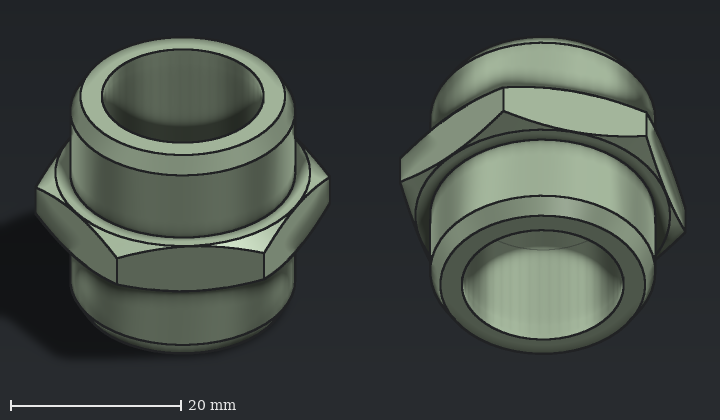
import cadquery as cq
import math

overall_height = 28.5
hex_sides = 6
across_flats = 30.0
hex_height = 6.5
spigot_diameter = 26.44
bore_diameter = 19.0

end_chamfer_depth = 1.2
end_chamfer_angle = 30.0

hex_face_diameter = 29.9
hex_chamfer_angle = 30.0

across_corners = across_flats / math.cos(math.pi / hex_sides)
end_chamfer_length = end_chamfer_depth / math.tan(math.radians(end_chamfer_angle))
corner_drop = (across_corners - hex_face_diameter) / 2 * math.tan(math.radians(hex_chamfer_angle))


def chamfered_cylinder(diameter, height, face_diameter, chamfer_length):
    """Cylinder centred on the origin, with a cone down to face_diameter at both ends."""
    radius = diameter / 2
    face_radius = face_diameter / 2
    half_height = height / 2
    shoulder = half_height - chamfer_length
    profile = [
        (0, -half_height),
        (face_radius, -half_height),
        (radius, -shoulder),
        (radius, shoulder),
        (face_radius, half_height),
        (0, half_height),
    ]
    return cq.Workplane("XZ").polyline(profile).close().revolve(axisStart=(0, 0), axisEnd=(0, 1))


def hexagon():
    """Wrench hexagon with corners on the X axis and conically chamfered corners."""
    prism = (
        cq.Workplane("XY")
        .workplane(offset=-hex_height / 2)
        .polygon(hex_sides, across_corners)
        .extrude(hex_height)
    )
    envelope = chamfered_cylinder(across_corners, hex_height, hex_face_diameter, corner_drop)
    return prism.intersect(envelope)


def spigots():
    """Both round end spigots as one cylinder running through the hexagon."""
    face_diameter = spigot_diameter - 2 * end_chamfer_depth
    return chamfered_cylinder(spigot_diameter, overall_height, face_diameter, end_chamfer_length)


def bore():
    """Through bore along the axis."""
    return cq.Workplane("XY").circle(bore_diameter / 2).extrude(overall_height / 2, both=True)


result = hexagon().union(spigots()).cut(bore())